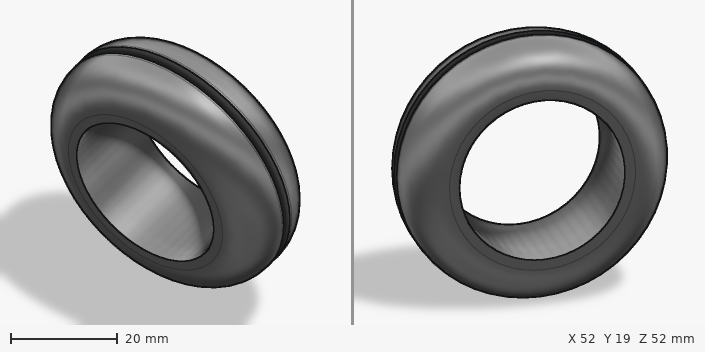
import cadquery as cq

outer_diameter = 52.0
bore_diameter = 32.0
groove_diameter = 44.0
length = 19.0
groove_width = 2.0
rim_radius = 8.0


def make_tube(outside, inside, width):
    """Plain tube along Y, centred on the origin."""
    return (
        cq.Workplane("XZ", origin=(0, width / 2, 0))
        .circle(outside / 2)
        .circle(inside / 2)
        .extrude(width)
    )


def round_rims(ring):
    """Round the outer edge at both ends, leaving a flat rim beside the bore."""
    outer_edges = ring.faces("<Y or >Y").edges(cq.selectors.RadiusNthSelector(-1))
    return outer_edges.fillet(rim_radius)


body = round_rims(make_tube(outer_diameter, bore_diameter, length))

groove_cutter = make_tube(2 * outer_diameter, groove_diameter, groove_width)

result = body.cut(groove_cutter)